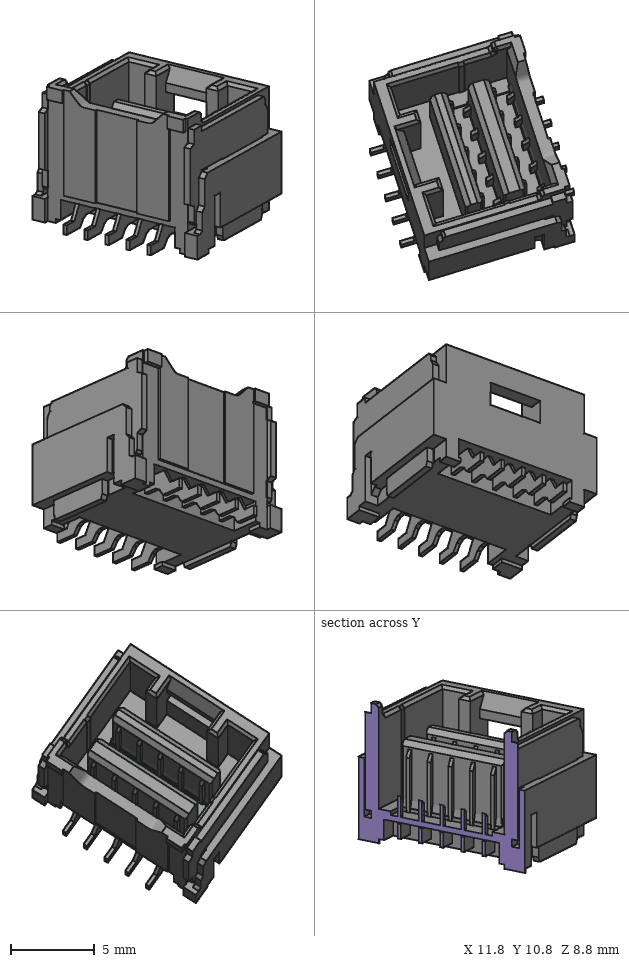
import cadquery as cq
import math


body_half_x = 5.0
rear_y = 4.57
column_y = -4.26
foot_z = 0.05
underside_z = 0.32
rim_z = 7.98
front_rim_z = 8.8
raised_start_y = -2.77
rim_chamfer = 0.2

panel_half_x = 3.76
panel_y = -4.42
panel_bottom_z = 2.01
panel_recess_half_x = 1.49
panel_recess_y = -4.3
pad_half_x = 4.89
notch_floor_half_x = 2.3
notch_fillet = 0.52

cavity_half_x = 4.44
cavity_rear_y = 3.68
cavity_front_y = -3.59
floor_z = 2.24
front_flare = 0.34
front_flare_height = 0.66
rib_outer_x = 2.62
rib_inner_x = 1.79
rib_tip_y = 2.64
window_bottom_z = 4.85
window_top_z = 6.41
lead_in_depth = 0.54
lead_in_height = 0.98
bump_rear_y = -0.58
bump_length = 0.34
bump_height = 0.05
foot_wedge_half_x = 3.89
slope_height = 0.71

tongue_half_x = 3.59
tongue_top_z = 6.37
tongue_chamfer = 0.33
tongue_corner = 0.12
slot_floor_z = 2.01
rear_tongue = (1.53, 0.46)
front_tongue = (-0.85, -2.21)
rear_slot = (0.33, -0.78)
front_slot = (-2.36, -3.45)
contact_reach = 0.22
contact_top_z = 5.9
contact_tip_height = 0.47
low_contact_top_z = 3.54
low_contact_reach = 0.42

pin_count = 5
pin_pitch = 1.5
pin_width = 0.25
lead_span = 10.85
lead_tip_y = lead_span / 2
lead_height = 0.63
lead_knee_y = 4.6
lead_rise_run = 0.54
lead_embed = 0.12
lead_arm_top_z = 1.57
lead_inset_y = 2.36
opening_half_x = 4.08
opening_top_z = 1.62

shelf_half_x = 5.9
shelf_bottom_z = 1.29
shelf_top_z = 5.26
nail_half_x = 5.43
nail_gap = 0.05
nail_leg_y = -3.35
tail_rear_y = 3.17
tail_front_y = -1.11
nail_gap_rear_y = -2.83
shelf_slot_rear_y = -2.06
shelf_leg_y = -2.65
shelf_slot_top_z = 3.53
shelf_upper_y = -3.76
shelf_lower_y = -4.02
leg_top_z = 1.57
nail_rear_y = 3.78
nail_neck_y = 3.53
nail_top_z = 7.8
nail_tab_z = 8.17
nail_edge_y = -4.21
nail_blade_y = -4.6
nail_leg_bottom_z = 2.01
tail_chamfer = 0.12

front_foot_rear_y = -3.3
rear_foot_front_y = 3.86
front_foot_inner_x = 4.44
rear_foot_inner_x = 3.94


def box(x0, x1, y0, y1, z0, z1):
    """Block between two opposite corners."""
    return cq.Workplane("XY").box(x1 - x0, y1 - y0, z1 - z0, centered=False).translate((x0, y0, z0))


def centred_box(half_x, y0, y1, z0, z1):
    """Block symmetric about the YZ plane."""
    return box(-half_x, half_x, y0, y1, z0, z1)


def side_prism(points, x0, x1):
    """Prism between two X positions with a (y, z) outline."""
    return cq.Workplane("YZ").polyline(points).close().extrude(x1 - x0).translate((x0, 0, 0))


def front_prism(points, y0, y1):
    """Prism between two Y positions with an (x, z) outline."""
    return cq.Workplane("XZ").polyline(points).close().extrude(y1 - y0).translate((0, y1, 0))


def both_sides(solid):
    """The solid together with its mirror image across the YZ plane."""
    return solid.union(solid.mirror("YZ"))


def housing_shell():
    """Outer block with raised front corners, front panel and corner pads."""
    profile = [
        (rear_y, underside_z),
        (rear_y, rim_z),
        (raised_start_y + rim_chamfer, rim_z),
        (raised_start_y, rim_z + rim_chamfer),
        (raised_start_y, front_rim_z - rim_chamfer),
        (raised_start_y - rim_chamfer, front_rim_z),
        (column_y, front_rim_z),
        (column_y, underside_z),
    ]
    shell = side_prism(profile, -body_half_x, body_half_x)
    shell = shell.union(centred_box(panel_half_x, panel_y, column_y, panel_bottom_z, front_rim_z))
    shell = shell.cut(centred_box(panel_recess_half_x, panel_y, panel_recess_y, panel_bottom_z, front_rim_z))
    pad = box(panel_half_x, pad_half_x, -rear_y, column_y, rim_z, front_rim_z)
    return shell.union(both_sides(pad))


def cavity():
    """Open cavity with two ribs left standing on its rear wall."""
    half_outline = [
        (rib_inner_x, cavity_rear_y),
        (rib_inner_x, rib_tip_y),
        (rib_outer_x, rib_tip_y),
        (rib_outer_x, cavity_rear_y),
        (cavity_half_x, cavity_rear_y),
        (cavity_half_x, cavity_front_y),
    ]
    outline = half_outline + [(-x, y) for x, y in reversed(half_outline)]
    return cq.Workplane("XY").workplane(offset=floor_z).polyline(outline).close().extrude(front_rim_z - floor_z)


def chamfer_rim(shell):
    """Chamfer the inner rim along the rear wall, the ribs and the stepped side walls."""
    margin = 0.01
    rim_edges = cq.selectors.BoxSelector(
        (-cavity_half_x - margin, raised_start_y - 2 * front_flare, rim_z - margin),
        (cavity_half_x + margin, cavity_rear_y + margin, front_rim_z + margin),
    )
    return shell.edges(rim_edges).chamfer(rim_chamfer)


def wall_bump():
    """Shallow vertical bump on the right-hand cavity wall, sloped like the rim."""
    profile = [
        (cavity_half_x, floor_z),
        (cavity_half_x - bump_height, floor_z),
        (cavity_half_x - bump_height, rim_z - rim_chamfer),
        (cavity_half_x - bump_height + rim_chamfer, rim_z),
        (cavity_half_x + rim_chamfer, rim_z),
        (cavity_half_x, rim_z - rim_chamfer),
    ]
    return front_prism(profile, bump_rear_y - bump_length, bump_rear_y)


def raised_mouth():
    """Flared mouth between the raised front corners."""
    flare_half_x = cavity_half_x + rim_chamfer
    across = [
        (-cavity_half_x, rim_z),
        (-cavity_half_x, front_rim_z - rim_chamfer),
        (-flare_half_x, front_rim_z),
        (flare_half_x, front_rim_z),
        (cavity_half_x, front_rim_z - rim_chamfer),
        (cavity_half_x, rim_z),
    ]
    along = [
        (raised_start_y, rim_z),
        (raised_start_y, front_rim_z),
        (cavity_front_y - front_flare, front_rim_z),
        (cavity_front_y, front_rim_z - front_flare_height),
        (cavity_front_y, rim_z),
    ]
    return front_prism(across, -rear_y, raised_start_y).intersect(
        side_prism(along, -body_half_x, body_half_x)
    )


def rear_window():
    """Window through the rear wall between the ribs, and the lead-in slope above it."""
    window = centred_box(rib_inner_x, cavity_rear_y, rear_y, window_bottom_z, window_top_z)
    slope = [
        (cavity_rear_y, rim_z - lead_in_height),
        (cavity_rear_y, rim_z),
        (cavity_rear_y + lead_in_depth, rim_z),
    ]
    slope_half_x = rib_inner_x + rim_chamfer
    flare = [
        (-rib_inner_x, rim_z - lead_in_height),
        (-rib_inner_x, rim_z - rim_chamfer),
        (-slope_half_x, rim_z),
        (slope_half_x, rim_z),
        (rib_inner_x, rim_z - rim_chamfer),
        (rib_inner_x, rim_z - lead_in_height),
    ]
    lead_in = side_prism(slope, -rib_outer_x, rib_outer_x).intersect(
        front_prism(flare, cavity_rear_y, rear_y)
    )
    return window.union(lead_in)


def front_notch():
    """Wide notch in the front rim with 45 degree sides blended into its floor."""
    slope_angle = math.radians(45)
    diagonal = notch_fillet * math.sin(slope_angle)
    blend_rise = notch_fillet * (1 - math.cos(slope_angle))
    blend_end_x = notch_floor_half_x + diagonal
    blend_end_z = rim_z + blend_rise
    top_x = blend_end_x + front_rim_z - blend_end_z
    middle_x = notch_floor_half_x + notch_fillet * math.sin(slope_angle / 2)
    notch_depth = raised_start_y + rear_y
    middle_z = rim_z + notch_fillet * (1 - math.cos(slope_angle / 2))
    return (
        cq.Workplane("XZ")
        .moveTo(-notch_floor_half_x, rim_z)
        .lineTo(notch_floor_half_x, rim_z)
        .threePointArc((middle_x, middle_z), (blend_end_x, blend_end_z))
        .lineTo(top_x, front_rim_z)
        .lineTo(-top_x, front_rim_z)
        .lineTo(-blend_end_x, blend_end_z)
        .threePointArc((-middle_x, middle_z), (-notch_floor_half_x, rim_z))
        .close()
        .extrude(notch_depth)
        .translate((0, raised_start_y, 0))
    )


def tongue(faces):
    """Contact tongue with bevelled top edges and corners."""
    back, front = faces
    return (
        centred_box(tongue_half_x, front, back, slot_floor_z, tongue_top_z)
        .edges("|Z").chamfer(tongue_corner)
        .faces(">Z").edges("|X").chamfer(tongue_chamfer)
    )


def sloping_foot(face_y, slot_edge, half_x):
    """Sloping foot that leads from an upright face down to the edge of a slot."""
    profile = [(face_y, slot_floor_z), (face_y, slot_floor_z + slope_height), (slot_edge, slot_floor_z)]
    return side_prism(profile, -half_x, half_x)


def contacts(tongue_front, wall_y, pin_x):
    """Facing pair of contacts in one slot: tall on the tongue, low on the wall opposite."""
    x0, x1 = pin_x - pin_width / 2, pin_x + pin_width / 2
    tall = [
        (tongue_front, slot_floor_z),
        (tongue_front, contact_top_z),
        (tongue_front - contact_reach, contact_top_z - contact_tip_height),
        (tongue_front - contact_reach, slot_floor_z),
    ]
    low = [
        (wall_y, slot_floor_z),
        (wall_y, low_contact_top_z),
        (wall_y + low_contact_reach, low_contact_top_z - contact_tip_height),
        (wall_y + low_contact_reach, slot_floor_z),
    ]
    return side_prism(tall, x0, x1).union(side_prism(low, x0, x1))


def front_lead(pin_x):
    """Gull-wing lead that drops out of the front opening to a flat foot."""
    profile = [
        (-lead_tip_y, 0),
        (-lead_tip_y, lead_height),
        (-lead_knee_y, lead_height),
        (-lead_knee_y + lead_rise_run, lead_arm_top_z),
        (-lead_inset_y + lead_embed, lead_arm_top_z),
        (-lead_inset_y + lead_embed, lead_height),
        (-3.3, lead_height),
        (-3.6, 0.47),
        (-3.96, 0),
    ]
    return side_prism(profile, pin_x - pin_width / 2, pin_x + pin_width / 2)


def shelf():
    """Left side shelf with its front leg and a vertical slot."""
    profile = [
        (rear_y, shelf_bottom_z),
        (rear_y, shelf_top_z),
        (-3.46, shelf_top_z),
        (shelf_upper_y, 4.96),
        (shelf_upper_y, 3.2),
        (shelf_lower_y, 2.9),
        (shelf_lower_y, 1.73),
        (column_y, leg_top_z),
        (-rear_y, leg_top_z),
        (-rear_y, foot_z),
        (front_foot_rear_y, foot_z),
        (front_foot_rear_y, underside_z),
        (shelf_leg_y, underside_z),
        (shelf_leg_y, 0.93),
        (-2.28, shelf_bottom_z),
    ]
    nail_gap_x = nail_half_x + nail_gap
    solid = side_prism(profile, -shelf_half_x, -body_half_x)
    slot = box(-shelf_half_x, -nail_gap_x, shelf_leg_y, shelf_slot_rear_y, 0, shelf_slot_top_z)
    pocket = box(-nail_gap_x, -body_half_x, column_y, nail_gap_rear_y, leg_top_z, shelf_top_z)
    return solid.cut(slot).cut(pocket)


def nail():
    """Left solder nail: a tall plate beside the housing and a tail reaching the board."""
    arm_bottom_z = shelf_top_z + nail_gap
    plate = [
        (nail_rear_y, arm_bottom_z),
        (nail_rear_y, 6.85),
        (nail_neck_y, 7.25),
        (nail_neck_y, 7.59),
        (3.36, nail_top_z),
        (nail_leg_y, nail_top_z),
        (nail_leg_y, nail_tab_z),
        (nail_edge_y, nail_tab_z),
        (nail_edge_y, 7.25),
        (nail_blade_y, 7.07),
        (nail_blade_y, 3.45),
        (nail_edge_y, 3.26),
        (nail_edge_y, 2.2),
        (-4.08, nail_leg_bottom_z),
        (nail_leg_y, nail_leg_bottom_z),
        (nail_leg_y, arm_bottom_z),
    ]
    tail = [
        (tail_rear_y, arm_bottom_z),
        (tail_front_y, arm_bottom_z),
        (tail_front_y, underside_z),
        (tail_front_y + tail_chamfer, 0),
        (tail_rear_y - tail_chamfer, 0),
        (tail_rear_y, underside_z),
    ]
    solid = side_prism(plate, -nail_half_x, -body_half_x)
    return solid.union(side_prism(tail, -nail_half_x, -body_half_x))


def tail_clearance():
    """Grooves in the left housing wall along both edges of the nail tail."""
    x0, x1 = -body_half_x, -body_half_x + nail_gap
    rear = box(x0, x1, tail_rear_y, tail_rear_y + nail_gap, underside_z, shelf_bottom_z)
    front = box(x0, x1, tail_front_y - nail_gap, tail_front_y, underside_z, shelf_bottom_z)
    return rear.union(front)


def base_openings():
    """Openings under the front and rear walls where the leads come out."""
    front = centred_box(opening_half_x, column_y, -lead_inset_y, underside_z, opening_top_z)
    rear = centred_box(opening_half_x, lead_inset_y, rear_y, underside_z, opening_top_z)
    return front.union(rear)


def feet():
    """Low feet under the right-hand corners of the housing."""
    front = box(front_foot_inner_x, body_half_x, column_y, front_foot_rear_y, foot_z, underside_z)
    rear = box(rear_foot_inner_x, body_half_x, rear_foot_front_y, rear_y, foot_z, underside_z)
    return front.union(rear)


body = chamfer_rim(housing_shell().cut(cavity()))
body = body.cut(raised_mouth()).cut(rear_window()).cut(front_notch()).cut(base_openings())
body = body.union(both_sides(wall_bump()))
body = body.cut(both_sides(tail_clearance()))
for back, front in (rear_slot, front_slot):
    body = body.cut(centred_box(tongue_half_x, front, back, slot_floor_z, floor_z))
for faces, slot in ((rear_tongue, rear_slot), (front_tongue, front_slot)):
    body = body.union(tongue(faces))
    body = body.union(sloping_foot(faces[1], slot[0], tongue_half_x))
body = body.union(sloping_foot(front_tongue[0], rear_slot[1], tongue_half_x))
body = body.union(sloping_foot(cavity_front_y, front_slot[1], foot_wedge_half_x))
body = body.union(both_sides(feet()))
body = body.union(both_sides(shelf().union(nail())))

for index in range(pin_count):
    pin_x = (index - (pin_count - 1) / 2) * pin_pitch
    lead = front_lead(pin_x)
    body = body.union(lead).union(lead.mirror("XZ"))
    body = body.union(contacts(rear_tongue[1], front_tongue[0], pin_x))
    body = body.union(contacts(front_tongue[1], cavity_front_y, pin_x))

result = body